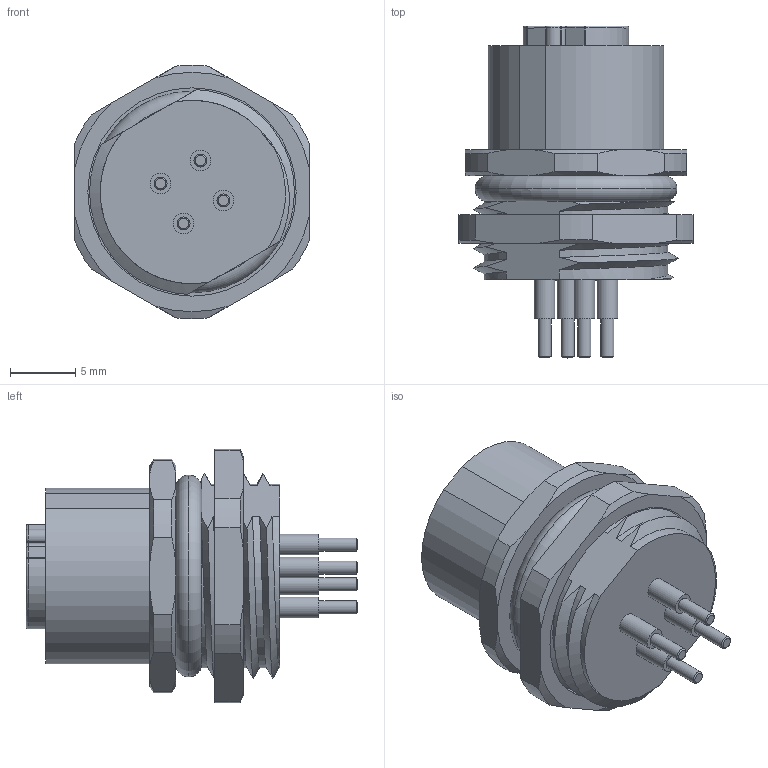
import cadquery as cq
import math


THREAD_LENGTH = 6.0
SEAL_WIDTH = 2.0
FLANGE_WIDTH = 2.0
BARREL_LENGTH = 8.0
INSERT_LENGTH = 1.5
SEAL_START = THREAD_LENGTH
FLANGE_START = SEAL_START + SEAL_WIDTH
BARREL_START = FLANGE_START + FLANGE_WIDTH
INSERT_START = BARREL_START + BARREL_LENGTH

BARREL_RADIUS = 6.75
FLAT_DISTANCE = 6.65
FLAT_DIRECTION = 120.0

FLANGE_ACROSS_FLATS = 17.0
FLANGE_CORNER_RADIUS = 9.0
FLANGE_FACE_RADIUS = 8.55
FLANGE_CHAMFER_LENGTH = 0.3

SEAL_SECTION_RADIUS = SEAL_WIDTH / 2

THREAD_PITCH = 1.5
THREAD_ROOT_RADIUS = 7.05
THREAD_CREST_RADIUS = 7.87
THREAD_HALF_ANGLE = 30.0
THREAD_OFFSET = 0.16
RAMP_START = -45.0
RAMP_SWEEP = 90.0
RIDGE_DEPTH = 0.4
SECTION_STEP = 15.0

INSERT_RADIUS = 4.05
INSERT_FLAT_DISTANCE = 3.11
KEY_RADIUS = 0.63
KEY_FILLET = 0.24
INSERT_CORNER_FILLET = 0.15
INSERT_EDGE_FILLET = 0.15

CONTACT_COUNT = 4
CONTACT_CIRCLE_RADIUS = 2.5
CONTACT_FIRST_ANGLE = 75.0
SLEEVE_RADIUS = 0.8
SLEEVE_LENGTH = 3.0
PIN_RADIUS = 0.5
PIN_LENGTH = 6.0
PIN_CHAMFER = 0.1

NUT_START = 2.8
NUT_WIDTH = 2.2
NUT_ACROSS_FLATS = 18.0
NUT_CORNER_RADIUS = 9.75
NUT_FACE_RADIUS = 9.2
NUT_CHAMFER_LENGTH = 0.25
NUT_BORE_RADIUS = 8.0


def cylinder(radius, start, end):
    """Cylinder on the Y axis between two stations."""
    return cq.Workplane("XZ", origin=(0, start, 0)).circle(radius).extrude(start - end)


def hexagon(across_flats, start, end):
    """Hexagonal prism on the Y axis with one pair of flats facing +X and -X."""
    across_corners = across_flats / math.cos(math.radians(30))
    prism = cq.Workplane("XZ", origin=(0, start, 0)).polygon(6, across_corners).extrude(start - end)
    return prism.rotate((0, 0, 0), (0, 1, 0), 30)


def turned(profile):
    """Solid of revolution about Y from (radius, y) points."""
    return cq.Workplane("XY").polyline(profile).close().revolve(360, (0, 0, 0), (0, 1, 0))


def flat_slab(start, end):
    """Slab between the two parallel flats, long enough to trim the round stretches."""
    length = 4 * BARREL_RADIUS
    slab = cq.Workplane("XY").box(length, end - start, 2 * FLAT_DISTANCE)
    slab = slab.translate((0, (start + end) / 2, 0))
    return slab.rotate((0, 0, 0), (0, 1, 0), 90 - FLAT_DIRECTION)


def make_barrel():
    barrel = cylinder(BARREL_RADIUS, BARREL_START, INSERT_START)
    return barrel.intersect(flat_slab(BARREL_START, INSERT_START))


def make_flange():
    prism = hexagon(FLANGE_ACROSS_FLATS, FLANGE_START, BARREL_START)
    envelope = turned(
        [
            (0, FLANGE_START),
            (FLANGE_FACE_RADIUS, FLANGE_START),
            (FLANGE_CORNER_RADIUS, FLANGE_START + FLANGE_CHAMFER_LENGTH),
            (FLANGE_CORNER_RADIUS, BARREL_START - FLANGE_CHAMFER_LENGTH),
            (FLANGE_FACE_RADIUS, BARREL_START),
            (0, BARREL_START),
        ]
    )
    return prism.intersect(envelope)


def make_seal():
    """Round sealing bead and the neck that carries it."""
    bead = (
        cq.Workplane("XY")
        .center(BARREL_RADIUS, SEAL_START + SEAL_WIDTH / 2)
        .circle(SEAL_SECTION_RADIUS)
        .revolve(360, (-BARREL_RADIUS, 0, 0), (-BARREL_RADIUS, 1, 0))
    )
    return cylinder(BARREL_RADIUS, SEAL_START, FLANGE_START).union(bead)


def ridge_section(turn):
    """Triangular thread section at a turn angle; the crest rises along the ramp."""
    base_radius = THREAD_ROOT_RADIUS - RIDGE_DEPTH
    rise = min(1.0, (turn - RAMP_START) / RAMP_SWEEP)
    tip_radius = THREAD_ROOT_RADIUS + rise * (THREAD_CREST_RADIUS - THREAD_ROOT_RADIUS)
    half_width = (tip_radius - base_radius) * math.tan(math.radians(THREAD_HALF_ANGLE))
    crest_y = THREAD_OFFSET + THREAD_PITCH * turn / 360
    across = math.cos(math.radians(turn))
    upward = -math.sin(math.radians(turn))
    corners = [
        (base_radius, crest_y - half_width),
        (tip_radius, crest_y),
        (base_radius, crest_y + half_width),
    ]
    return cq.Wire.makePolygon([cq.Vector(r * across, y, r * upward) for r, y in corners], close=True)


def make_thread():
    """Threaded shank, trimmed by its end faces and the two flats."""
    last_turn = 360 * (THREAD_LENGTH / THREAD_PITCH + 0.5)
    section_count = math.ceil((last_turn - RAMP_START) / SECTION_STEP) + 1
    sections = [ridge_section(RAMP_START + SECTION_STEP * i) for i in range(section_count)]
    ridge = cq.Workplane(cq.Solid.makeLoft(sections))
    shank = cylinder(THREAD_ROOT_RADIUS, 0, THREAD_LENGTH)
    slab = flat_slab(0, THREAD_LENGTH)
    return shank.intersect(slab).union(ridge.intersect(slab))


def make_insert():
    """Round insert with one flat, and a round-nosed key standing on the flat."""
    key_centre = INSERT_RADIUS - KEY_RADIUS
    corner_half_width = math.sqrt(INSERT_RADIUS**2 - INSERT_FLAT_DISTANCE**2)
    start = (0, INSERT_START, 0)
    body = (
        cq.Workplane("XZ", origin=start)
        .moveTo(-corner_half_width, INSERT_FLAT_DISTANCE)
        .threePointArc((0, -INSERT_RADIUS), (corner_half_width, INSERT_FLAT_DISTANCE))
        .lineTo(KEY_RADIUS, INSERT_FLAT_DISTANCE)
        .lineTo(KEY_RADIUS, key_centre)
        .threePointArc((0, INSERT_RADIUS), (-KEY_RADIUS, key_centre))
        .lineTo(-KEY_RADIUS, INSERT_FLAT_DISTANCE)
        .close()
        .extrude(-INSERT_LENGTH)
    )
    middle = INSERT_START + INSERT_LENGTH / 2
    for side in (-1, 1):
        key_root = (side * KEY_RADIUS, middle, INSERT_FLAT_DISTANCE)
        body = body.edges(cq.selectors.NearestToPointSelector(key_root)).fillet(KEY_FILLET)
        corner = (side * corner_half_width, middle, INSERT_FLAT_DISTANCE)
        body = body.edges(cq.selectors.NearestToPointSelector(corner)).fillet(INSERT_CORNER_FILLET)
    body = body.faces(">Y").edges().fillet(INSERT_EDGE_FILLET)
    return body.rotate((0, 0, 0), (0, 1, 0), 90 - FLAT_DIRECTION)


def make_contact(angle):
    """Solder contact: a sleeve with a thinner pin, on the contact circle."""
    sleeve = cylinder(SLEEVE_RADIUS, -SLEEVE_LENGTH, 0)
    pin = cylinder(PIN_RADIUS, -PIN_LENGTH, -SLEEVE_LENGTH).faces("<Y").chamfer(PIN_CHAMFER)
    x = CONTACT_CIRCLE_RADIUS * math.cos(math.radians(angle))
    z = CONTACT_CIRCLE_RADIUS * math.sin(math.radians(angle))
    return sleeve.union(pin).translate((x, 0, z))


def make_connector():
    connector = make_thread().union(make_seal()).union(make_flange())
    connector = connector.union(make_barrel()).union(make_insert())
    for i in range(CONTACT_COUNT):
        connector = connector.union(make_contact(CONTACT_FIRST_ANGLE + 360 / CONTACT_COUNT * i))
    return connector


def make_nut():
    """Loose hexagonal nut around the thread, chamfered on its rear side."""
    end = NUT_START + NUT_WIDTH
    envelope = turned(
        [
            (0, NUT_START),
            (NUT_FACE_RADIUS, NUT_START),
            (NUT_CORNER_RADIUS, NUT_START + NUT_CHAMFER_LENGTH),
            (NUT_CORNER_RADIUS, end),
            (0, end),
        ]
    )
    nut = hexagon(NUT_ACROSS_FLATS, NUT_START, end).intersect(envelope)
    return nut.cut(cylinder(NUT_BORE_RADIUS, NUT_START, end))


connector = make_connector()
nut = make_nut()
result = cq.Compound.makeCompound([connector.solids().val(), nut.solids().val()])